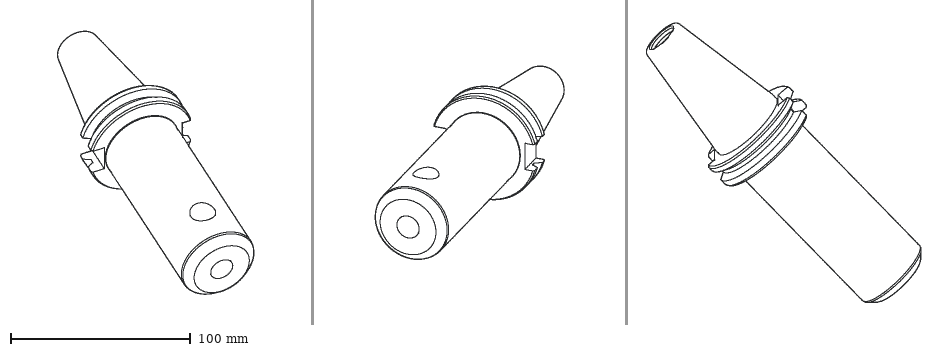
import cadquery as cq

total_length = 195.2
taper_length = 68.3
gauge_diameter = 44.5
taper_ratio = 7 / 24
taper_end_round = 2.0

flange_start = 71.3
flange_width = 16.0
flange_radius = 31.6
flange_bevel_length = 1.2
flange_bevel_depth = 0.8
groove_start = 75.4
groove_end = 82.4
groove_depth = 4.0
groove_side_length = 2.3

slot_width = 16.2
front_slot_floor = 22.8
rear_slot_floor = 25.0

shank_diameter = 44.3
collar_length = 0.5
nose_start = 190.8
nose_edge_length = 1.2
nose_edge_depth = 0.4
nose_bevel_depth = 3.7
nose_end_length = 0.8
nose_end_depth = 1.2

bore_diameter = 13.5
mouth_diameter = 18.4
mouth_bevel_length = 1.0
recess_diameter = 16.8
recess_depth = 3.0
thread_diameter = 16.2
thread_depth = 4.9

screw_x = 169.7
screw_diameter = 14.5

gauge_radius = gauge_diameter / 2
small_radius = (gauge_diameter - taper_length * taper_ratio) / 2
flange_end = flange_start + flange_width
bevel_radius = flange_radius - flange_bevel_depth
groove_radius = flange_radius - groove_depth
shank_radius = shank_diameter / 2
nose_radius = shank_radius - nose_edge_depth - nose_bevel_depth


def revolve_about_x(points):
    """Turn a closed (x, radius) outline about the X axis."""
    return cq.Workplane("XY").polyline(points).close().revolve(360, (0, 0, 0), (1, 0, 0))


def make_taper():
    taper = revolve_about_x([
        (0, 0),
        (0, small_radius),
        (taper_length, gauge_radius),
        (flange_start, gauge_radius),
        (flange_start, 0),
    ])
    return taper.faces("<X").edges().fillet(taper_end_round)


def make_flange():
    flange = revolve_about_x([
        (flange_start, 0),
        (flange_start, bevel_radius),
        (flange_start + flange_bevel_length, flange_radius),
        (groove_start, flange_radius),
        (groove_start + groove_side_length, groove_radius),
        (groove_end - groove_side_length, groove_radius),
        (groove_end, flange_radius),
        (flange_end - flange_bevel_length, flange_radius),
        (flange_end, bevel_radius),
        (flange_end, 0),
    ])
    for side, floor in ((-1, front_slot_floor), (1, rear_slot_floor)):
        slot_depth = flange_radius - floor
        slot = cq.Workplane("XY").box(flange_width, slot_depth, slot_width).translate(
            (flange_start + flange_width / 2, side * (floor + slot_depth / 2), 0)
        )
        flange = flange.cut(slot)
    return flange


def make_shank():
    return revolve_about_x([
        (flange_end, 0),
        (flange_end, gauge_radius),
        (flange_end + collar_length, gauge_radius),
        (flange_end + collar_length, shank_radius),
        (nose_start - nose_edge_length, shank_radius),
        (nose_start, shank_radius - nose_edge_depth),
        (total_length - nose_end_length, nose_radius),
        (total_length, nose_radius - nose_end_depth),
        (total_length, 0),
    ])


def make_bore():
    mouth_radius = mouth_diameter / 2
    recess_radius = recess_diameter / 2
    thread_radius = thread_diameter / 2
    bore_radius = bore_diameter / 2
    return revolve_about_x([
        (0, 0),
        (0, mouth_radius),
        (mouth_bevel_length, recess_radius),
        (recess_depth, recess_radius),
        (recess_depth, thread_radius),
        (thread_depth, thread_radius),
        (thread_depth, bore_radius),
        (total_length, bore_radius),
        (total_length, 0),
    ])


def make_screw_hole():
    return cq.Workplane("XY").center(screw_x, 0).circle(screw_diameter / 2).extrude(flange_radius)


body = make_taper().union(make_flange()).union(make_shank())
result = body.cut(make_bore()).cut(make_screw_hole())